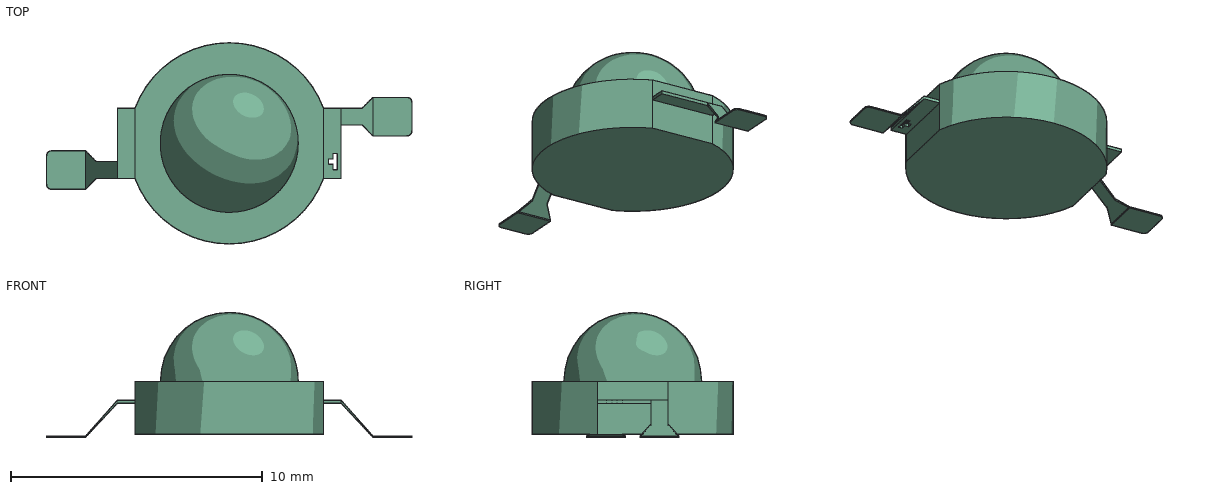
import cadquery as cq
import math

body_radius = 4.0
flat_offset = 3.75
body_bottom = 0.12
body_top = 2.22
lens_radius = 2.75

shelf_reach = 4.45
shelf_top = 1.48
shelf_thickness = 0.13
flat_half_width = math.sqrt(body_radius**2 - flat_offset**2)

lead_end = 7.26
foot_start = 5.7
flare_start = 5.29
foot_thickness = 0.06
foot_width = 1.54
foot_corner_radius = 0.2
neck_width = 0.68
neck_y = neck_width / 2 - flat_half_width

mark_y = -0.73
mark_bar_inner = 4.12
mark_bar_outer = 4.28
mark_bar_width = 0.64
mark_stem_start = 3.95
mark_stem_width = 0.2


def block(x_start, x_end, width, y_center, z_start, z_end):
    """Box spanning the given X and Z ranges, centred on y_center."""
    box = cq.Workplane("XY").box(x_end - x_start, width, z_end - z_start, centered=(False, True, False))
    return box.translate((x_start, y_center, z_start))


def make_body():
    disc = cq.Workplane("XY").workplane(offset=body_bottom).circle(body_radius).extrude(body_top - body_bottom)
    return disc.intersect(block(-flat_offset, flat_offset, 2 * body_radius, 0, body_bottom, body_top))


def make_lens():
    ball = cq.Workplane("XY").sphere(lens_radius).translate((0, 0, body_top))
    upper_half = block(-lens_radius, lens_radius, 2 * lens_radius, 0, body_top, body_top + lens_radius)
    return ball.intersect(upper_half)


def make_shelf():
    """Shelf on the -X flat, running into the body so that they join."""
    return block(-shelf_reach, -body_radius / 2, 2 * flat_half_width, 0, shelf_top - shelf_thickness, shelf_top)


def make_lead():
    """Lead on the -X side: its bent strip trimmed to the neck and foot outline."""
    strip = (
        cq.Workplane("XZ")
        .moveTo(-flat_offset, shelf_top)
        .lineTo(-shelf_reach, shelf_top)
        .lineTo(-foot_start, foot_thickness)
        .lineTo(-lead_end, foot_thickness)
        .lineTo(-lead_end, 0)
        .lineTo(-foot_start, 0)
        .lineTo(-shelf_reach, shelf_top - shelf_thickness)
        .lineTo(-flat_offset, shelf_top - shelf_thickness)
        .close()
        .extrude(body_radius, both=True)
    )
    half_neck = neck_width / 2
    half_foot = foot_width / 2
    outline = (
        cq.Workplane("XY")
        .moveTo(-flat_offset, half_neck)
        .lineTo(-flare_start, half_neck)
        .lineTo(-foot_start, half_foot)
        .lineTo(-lead_end, half_foot)
        .lineTo(-lead_end, -half_foot)
        .lineTo(-foot_start, -half_foot)
        .lineTo(-flare_start, -half_neck)
        .lineTo(-flat_offset, -half_neck)
        .close()
        .extrude(body_top)
        .edges("|Z and <X")
        .fillet(foot_corner_radius)
        .translate((0, neck_y, 0))
    )
    return strip.intersect(outline)


def make_polarity_mark():
    cut_bottom = shelf_top - shelf_thickness
    bar = block(mark_bar_inner, mark_bar_outer, mark_bar_width, mark_y, cut_bottom, shelf_top)
    stem = block(mark_stem_start, mark_bar_outer, mark_stem_width, mark_y, cut_bottom, shelf_top)
    return bar.union(stem)


result = make_body().union(make_lens())
terminal = make_shelf().union(make_lead())
for turn in (0, 180):
    result = result.union(terminal.rotate((0, 0, 0), (0, 0, 1), turn))
result = result.cut(make_polarity_mark())